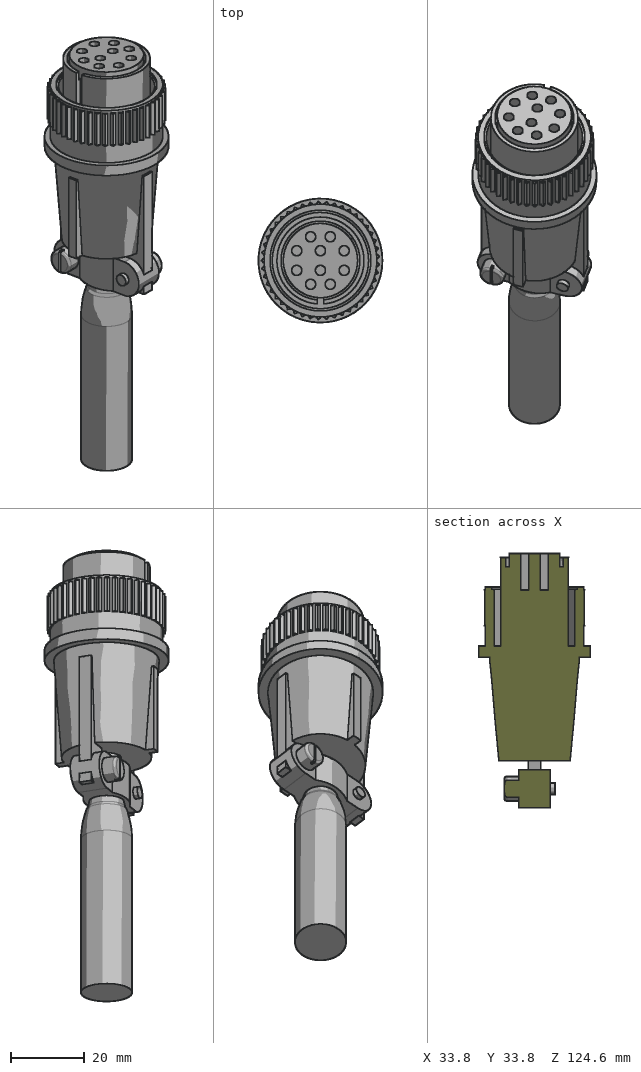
import cadquery as cq
import math

CABLE_RADIUS = 7.0
CABLE_TOP = 44.6
BOOT_ARC_RADIUS = 24.9
BOOT_ARC_TOP = 52.8
BOOT_TIP_RADIUS = 5.1
BOOT_TIP_Z = 53.7
BOOT_NECK_RADIUS = 4.7
INNER_CABLE_RADIUS = 4.0

CLAMP_BOTTOM = 55.5
CLAMP_TOP = 65.8
CLAMP_HEIGHT = CLAMP_TOP - CLAMP_BOTTOM
CLAMP_MIDDLE = (CLAMP_BOTTOM + CLAMP_TOP) / 2
CLAMP_THICKNESS = 8.6
CLAMP_HALF_THICKNESS = CLAMP_THICKNESS / 2
SADDLE_HALF_WIDTH = 5.9
SADDLE_HALF_DEPTH = 6.0
SCREW_X = 9.7
SCREW_HEAD_RADIUS = 3.4
SCREW_HEAD_END = 8.2
SCREW_HEAD_FILLET = 0.7
SCREW_SLOT_WIDTH = 0.6
SCREW_SLOT_DEPTH = 1.5
SCREW_SHANK_RADIUS = 1.6
SCREW_TIP_END = 5.6

BODY_BOTTOM = 68.2
BODY_BOTTOM_RADIUS = 12.2
BODY_TOP_RADIUS = 14.3
RIB_REACH = 14.6
SIDE_RIB_INNER = 7.4
SIDE_RIB_WIDTH = 3.5
SIDE_RIB_BOTTOM = 56.3
SIDE_RIB_TOP = 92.7
FRONT_RIB_WIDTH = 2.7
FRONT_RIB_TOP = 92.2

FLANGE_DIAMETER = 33.8
FLANGE_BOTTOM = 96.3
FLANGE_TOP = 99.5
RING_RADIUS = 15.3
RING_TOP = 115.5
RING_BORE_RADIUS = 13.1
RING_MOUTH_RADIUS = 13.7
RING_MOUTH_DEPTH = 0.6
RING_BORE_FLOOR = FLANGE_TOP
KNURL_RADIUS = 16.1
KNURL_BOTTOM = 105.0
KNURL_TOP = 114.8
KNURL_COUNT = 45
KNURL_BASE_WIDTH = 1.5

SHELL_RADIUS = 11.8
SHELL_TOP = 123.5
INSERT_RADIUS = 10.1
INSERT_TOP = 124.6
INSERT_GAP = 0.6
INSERT_GAP_DEPTH = 2.5
KEYWAY_WIDTH = 1.9
CONTACT_RADIUS = 1.4
CONTACT_DEPTH = 10.0
CONTACT_CIRCLE_RADIUS = 7.0
OUTER_CONTACT_COUNT = 8
INNER_CONTACT_Y = CONTACT_CIRCLE_RADIUS * math.sin(math.pi / OUTER_CONTACT_COUNT)


def cylinder(radius, bottom, top):
    """Upright cylinder centred on the Z axis."""
    return cq.Workplane("XY").workplane(offset=bottom).circle(radius).extrude(top - bottom)


def block(x_range, y_range, z_range):
    """Box given by its limits along each axis."""
    sizes = [high - low for low, high in (x_range, y_range, z_range)]
    corner = (x_range[0], y_range[0], z_range[0])
    return cq.Workplane("XY").box(*sizes, centered=False).translate(corner)


def boot_radius(z):
    """Radius of the boot's curved shoulder, tangent to the cable."""
    rise = z - CABLE_TOP
    return CABLE_RADIUS - BOOT_ARC_RADIUS + math.sqrt(BOOT_ARC_RADIUS**2 - rise**2)


def make_cable():
    """Cable with a rounded shoulder, running up through the clamp into the body."""
    arc_middle = (CABLE_TOP + BOOT_ARC_TOP) / 2
    outer = (
        cq.Workplane("XZ")
        .lineTo(CABLE_RADIUS, 0)
        .lineTo(CABLE_RADIUS, CABLE_TOP)
        .threePointArc((boot_radius(arc_middle), arc_middle), (boot_radius(BOOT_ARC_TOP), BOOT_ARC_TOP))
        .lineTo(BOOT_TIP_RADIUS, BOOT_TIP_Z)
        .lineTo(BOOT_NECK_RADIUS, CLAMP_BOTTOM)
        .lineTo(0, CLAMP_BOTTOM)
        .close()
        .revolve(360, (0, 0, 0), (0, 1, 0))
    )
    return outer.union(cylinder(INNER_CABLE_RADIUS, CLAMP_BOTTOM, BODY_BOTTOM))


def make_screw():
    """Slotted screw at -X with its head at -Y and its tip showing at +Y."""
    def along_y(radius, start, end):
        return cq.Workplane("XZ", origin=(0, end, 0)).circle(radius).extrude(end - start)

    head = along_y(SCREW_HEAD_RADIUS, -SCREW_HEAD_END, 0).faces("<Y").edges().fillet(SCREW_HEAD_FILLET)
    slot = block(
        (-SCREW_SLOT_WIDTH / 2, SCREW_SLOT_WIDTH / 2),
        (-SCREW_HEAD_END, -SCREW_HEAD_END + SCREW_SLOT_DEPTH),
        (-SCREW_HEAD_RADIUS, SCREW_HEAD_RADIUS),
    )
    shank = along_y(SCREW_SHANK_RADIUS, 0, SCREW_TIP_END)
    return head.cut(slot).union(shank).translate((-SCREW_X, 0, CLAMP_MIDDLE))


def make_clamp():
    """Round-ended clamp bar, arched over the cable, with two opposed screws."""
    bar = (
        cq.Workplane("XZ", origin=(0, 0, CLAMP_MIDDLE))
        .slot2D(2 * SCREW_X + CLAMP_HEIGHT, CLAMP_HEIGHT)
        .extrude(CLAMP_HALF_THICKNESS, both=True)
    )
    saddle = (
        cq.Workplane("XY", origin=(0, 0, CLAMP_BOTTOM))
        .moveTo(-SADDLE_HALF_WIDTH, -CLAMP_HALF_THICKNESS)
        .threePointArc((0, -SADDLE_HALF_DEPTH), (SADDLE_HALF_WIDTH, -CLAMP_HALF_THICKNESS))
        .lineTo(SADDLE_HALF_WIDTH, CLAMP_HALF_THICKNESS)
        .threePointArc((0, SADDLE_HALF_DEPTH), (-SADDLE_HALF_WIDTH, CLAMP_HALF_THICKNESS))
        .close()
        .extrude(CLAMP_HEIGHT)
    )
    clamp = bar.union(saddle)
    for turn in (0, 180):
        clamp = clamp.union(make_screw().rotate((0, 0, 0), (0, 0, 1), turn))
    return clamp


def make_body():
    """Tapered body with four ribs; the two side ribs reach down to the clamp."""
    body = (
        cq.Workplane("XZ")
        .moveTo(0, BODY_BOTTOM)
        .lineTo(BODY_BOTTOM_RADIUS, BODY_BOTTOM)
        .lineTo(BODY_TOP_RADIUS, FLANGE_BOTTOM)
        .lineTo(0, FLANGE_BOTTOM)
        .close()
        .revolve(360, (0, 0, 0), (0, 1, 0))
    )
    side_rib = block(
        (SIDE_RIB_INNER, RIB_REACH),
        (-SIDE_RIB_WIDTH / 2, SIDE_RIB_WIDTH / 2),
        (SIDE_RIB_BOTTOM, SIDE_RIB_TOP),
    )
    front_rib = block(
        (-FRONT_RIB_WIDTH / 2, FRONT_RIB_WIDTH / 2),
        (-RIB_REACH, 0),
        (BODY_BOTTOM, FRONT_RIB_TOP),
    )
    for turn in (0, 180):
        for rib in (side_rib, front_rib):
            body = body.union(rib.rotate((0, 0, 0), (0, 0, 1), turn))
    return body


def make_ring():
    """Flange and hollow coupling ring with a stepped mouth and a band of V-shaped ridges."""
    ring = cylinder(FLANGE_DIAMETER / 2, FLANGE_BOTTOM, FLANGE_TOP)
    ring = ring.union(cylinder(RING_RADIUS, FLANGE_TOP, RING_TOP))
    ring = ring.cut(cylinder(RING_BORE_RADIUS, RING_BORE_FLOOR, RING_TOP))
    ring = ring.cut(cylinder(RING_MOUTH_RADIUS, RING_TOP - RING_MOUTH_DEPTH, RING_TOP))

    half_angle = math.asin(KNURL_BASE_WIDTH / 2 / RING_RADIUS)
    pitch = 2 * math.pi / KNURL_COUNT
    outline = []
    for index in range(KNURL_COUNT):
        tip_angle = math.pi + index * pitch
        for radius, angle in (
            (RING_RADIUS, tip_angle - half_angle),
            (KNURL_RADIUS, tip_angle),
            (RING_RADIUS, tip_angle + half_angle),
        ):
            outline.append((radius * math.cos(angle), radius * math.sin(angle)))
    knurl = cq.Workplane("XY", origin=(0, 0, KNURL_BOTTOM)).polyline(outline).close()
    knurl = knurl.extrude(KNURL_TOP - KNURL_BOTTOM)
    knurl = knurl.cut(cylinder((RING_RADIUS + RING_BORE_RADIUS) / 2, KNURL_BOTTOM, KNURL_TOP))
    return ring.union(knurl)


def make_plug():
    """Keyed plug shell around an insert with ten contact holes."""
    gap_floor = SHELL_TOP - INSERT_GAP_DEPTH
    gap = cylinder(INSERT_RADIUS + INSERT_GAP, gap_floor, SHELL_TOP)
    insert = cylinder(INSERT_RADIUS, RING_BORE_FLOOR, INSERT_TOP)
    keyway = block(
        (-KEYWAY_WIDTH / 2, KEYWAY_WIDTH / 2),
        (-SHELL_RADIUS, 0),
        (RING_BORE_FLOOR, SHELL_TOP),
    )
    plug = cylinder(SHELL_RADIUS, RING_BORE_FLOOR, SHELL_TOP).cut(gap).cut(keyway).union(insert)

    contacts = [(0, INNER_CONTACT_Y), (0, -INNER_CONTACT_Y)]
    for index in range(OUTER_CONTACT_COUNT):
        angle = 2 * math.pi * (index + 0.5) / OUTER_CONTACT_COUNT
        contacts.append((CONTACT_CIRCLE_RADIUS * math.cos(angle), CONTACT_CIRCLE_RADIUS * math.sin(angle)))
    holes = (
        cq.Workplane("XY", origin=(0, 0, INSERT_TOP))
        .pushPoints(contacts)
        .circle(CONTACT_RADIUS)
        .extrude(-CONTACT_DEPTH)
    )
    return plug.cut(holes)


result = make_cable().union(make_clamp()).union(make_body()).union(make_ring()).union(make_plug())